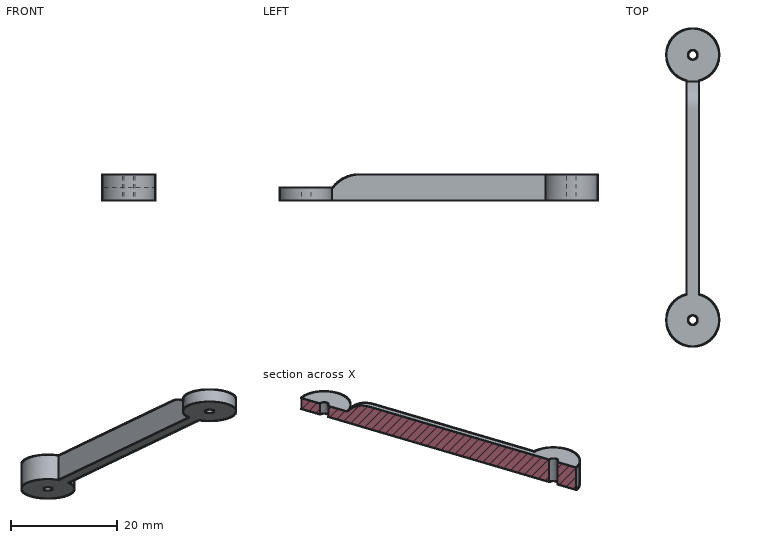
import cadquery as cq

overall_length = 60.0
disc_diameter = 10.0
full_height = 5.0
hole_diameter = 1.75
arm_width = 2.4
slope_length = 5.0

low_height = full_height / 2
disc_radius = disc_diameter / 2
disc_offset = overall_length / 2 - disc_radius
slope_start = disc_offset - disc_radius
slope_end = slope_start - slope_length

slope_drop = full_height - low_height
slope_radius = (slope_length**2 + slope_drop**2) / (2 * slope_drop)


def disc(y, height):
    """Round end plate standing on the base plane."""
    return cq.Workplane("XY").center(0, y).circle(disc_radius).extrude(height)


def arm():
    """Straight bar between the disc centres, rounded down to the low disc."""
    profile = (
        cq.Workplane("YZ")
        .moveTo(-disc_offset, 0)
        .lineTo(disc_offset, 0)
        .lineTo(disc_offset, low_height)
        .lineTo(slope_start, low_height)
        .radiusArc((slope_end, full_height), -slope_radius)
        .lineTo(-disc_offset, full_height)
        .close()
    )
    return profile.extrude(arm_width / 2, both=True)


def pin_holes():
    """Cutters for the through holes at the disc centres."""
    centres = [(0, -disc_offset), (0, disc_offset)]
    return cq.Workplane("XY").pushPoints(centres).circle(hole_diameter / 2).extrude(full_height)


high_disc = disc(-disc_offset, full_height)
low_disc = disc(disc_offset, low_height)
result = high_disc.union(low_disc).union(arm()).cut(pin_holes())